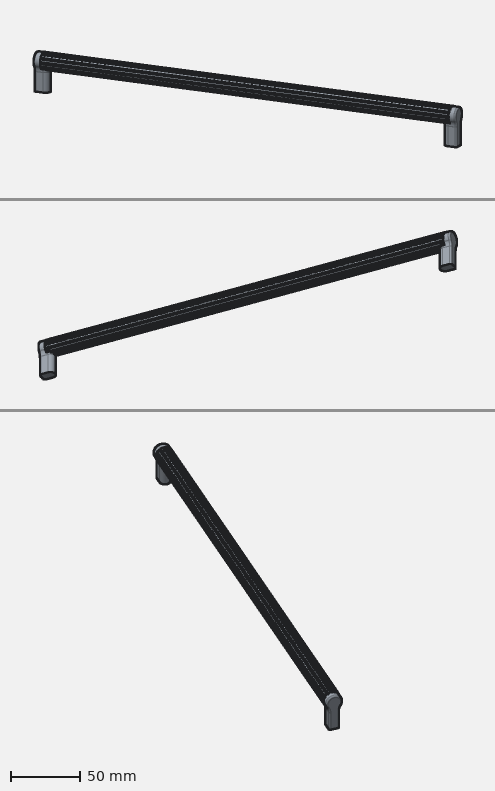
import cadquery as cq
import math

length = 334.0
height = 29.5

bar_diameter = 13.0
flute_count = 12
flute_width = 1.0
flute_depth = 1.0

head_diameter = 12.7
head_length = 5.7
post_width = 8.0
post_depth = 11.0
neck_radius = 7.5
edge_radius = 1.5

bar_radius = bar_diameter / 2
head_radius = head_diameter / 2
axis_height = height - bar_radius
bar_length = length - 2 * head_length
half_width = post_width / 2
round_center_x = post_depth - half_width

neck_center_y = half_width + neck_radius
neck_center_drop = math.sqrt((head_radius + neck_radius) ** 2 - neck_center_y**2)
neck_bottom_z = axis_height - neck_center_drop
head_share = head_radius / (head_radius + neck_radius)
neck_top_y = neck_center_y * head_share
neck_top_z = axis_height - neck_center_drop * head_share
neck_sweep = math.atan2(neck_center_drop, neck_center_y)
neck_middle_y = neck_center_y - neck_radius * math.cos(neck_sweep / 2)
neck_middle_z = neck_bottom_z + neck_radius * math.sin(neck_sweep / 2)


def make_bar():
    rod = cq.Workplane("YZ").circle(bar_radius).extrude(bar_length)
    flutes = (
        cq.Workplane("YZ")
        .polarArray(bar_radius, 0, 360, flute_count)
        .rect(2 * flute_depth, flute_width)
        .extrude(bar_length)
    )
    return rod.cut(flutes).translate((head_length, 0, axis_height))


def plus_y_side(outline):
    """Post side and neck arc on +Y, from the foot up to the head circle."""
    return (
        outline.lineTo(half_width, 0)
        .lineTo(half_width, neck_bottom_z)
        .threePointArc((neck_middle_y, neck_middle_z), (neck_top_y, neck_top_z))
    )


def minus_y_side(outline):
    """Neck arc and post side on -Y, from the head circle down to the foot."""
    return (
        outline.threePointArc((-neck_middle_y, neck_middle_z), (-half_width, neck_bottom_z))
        .lineTo(-half_width, 0)
        .close()
    )


def make_head():
    outline = plus_y_side(cq.Workplane("YZ").moveTo(-half_width, 0))
    outline = outline.threePointArc((0, axis_height + head_radius), (-neck_top_y, neck_top_z))
    head = minus_y_side(outline).extrude(head_length)
    return head.faces("<X").edges("not(<Z)").fillet(edge_radius)


def make_straight_post():
    """Part of the post between the head and its round inner side, with the same neck arcs."""
    outline = plus_y_side(cq.Workplane("YZ", origin=(head_length, 0, 0)).moveTo(-half_width, 0))
    outline = outline.lineTo(-neck_top_y, neck_top_z)
    return minus_y_side(outline).extrude(round_center_x - head_length)


def make_round_post():
    """Half-round inner side of the post, its neck arc turned about a vertical axis."""
    outline = plus_y_side(cq.Workplane("YZ", origin=(round_center_x, 0, 0)))
    return outline.lineTo(0, neck_top_z).close().revolve(180, (0, 0), (0, -1))


def make_bracket():
    bar_seat = (
        cq.Workplane("YZ", origin=(head_length, 0, axis_height))
        .circle(bar_radius)
        .extrude(bar_length)
    )
    post = make_straight_post().union(make_round_post()).cut(bar_seat)
    return make_head().union(post)


def make_brackets():
    """One bracket at each end of the bar, the second turned half round to face the first."""
    brackets = []
    for end_x, turn in ((0, 0), (length, 180)):
        bracket = make_bracket().rotate((0, 0, 0), (0, 0, 1), turn).translate((end_x, 0, 0))
        brackets.append(bracket.val())
    return brackets


bar = make_bar()
brackets = make_brackets()

result = cq.Compound.makeCompound([bar.val(), *brackets])